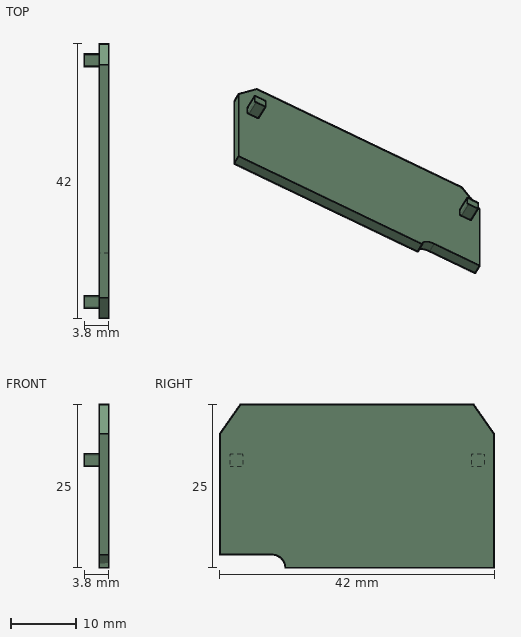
import cadquery as cq

plate_thickness = 1.5
plate_length = 42.0
plate_height = 25.0

corner_run = 3.15
corner_drop = 4.5

step_length = 10.0
step_height = 2.0
step_radius = step_height

pin_size = 1.95
pin_length = 2.3
pin_edge_radius = 0.2
pin_center_end_distance = 2.5
pin_center_height = 16.5

half_length = plate_length / 2
pin_center_offset = half_length - pin_center_end_distance


def make_plate():
    """Flat plate with two sloped upper corners and a stepped lower edge."""
    step_y = -half_length + step_length
    shoulder_z = plate_height - corner_drop
    return (
        cq.Workplane("YZ")
        .moveTo(step_y, 0)
        .lineTo(half_length, 0)
        .lineTo(half_length, shoulder_z)
        .lineTo(half_length - corner_run, plate_height)
        .lineTo(-half_length + corner_run, plate_height)
        .lineTo(-half_length, shoulder_z)
        .lineTo(-half_length, step_height)
        .lineTo(step_y - step_radius, step_height)
        .radiusArc((step_y, 0), step_radius)
        .close()
        .extrude(plate_thickness)
    )


def make_pin(center_y):
    """Square pin with rounded long edges, standing out from the -X face."""
    return (
        cq.Workplane("YZ")
        .center(center_y, pin_center_height)
        .rect(pin_size, pin_size)
        .extrude(-pin_length)
        .edges("|X")
        .fillet(pin_edge_radius)
    )


result = make_plate()
for side in (-1, 1):
    result = result.union(make_pin(side * pin_center_offset))